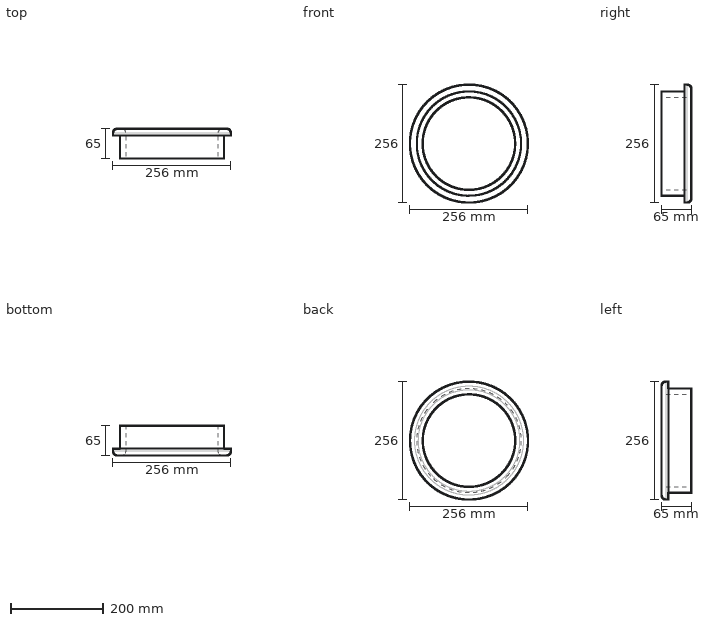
import cadquery as cq

flange_diameter = 256.0
sleeve_diameter = 226.0
bore_diameter = 200.0
total_length = 65.0
flange_thickness = 15.0
rim_radius = 10.0

sleeve_length = total_length - flange_thickness

sleeve = cq.Workplane("XZ").circle(sleeve_diameter / 2).extrude(-total_length)
flange = (
    cq.Workplane("XZ", origin=(0, sleeve_length, 0))
    .circle(flange_diameter / 2)
    .extrude(-flange_thickness)
)
body = sleeve.union(flange)

bore = cq.Workplane("XZ").circle(bore_diameter / 2).extrude(-total_length)
ring = body.cut(bore)

result = ring.faces(">Y").edges().fillet(rim_radius)